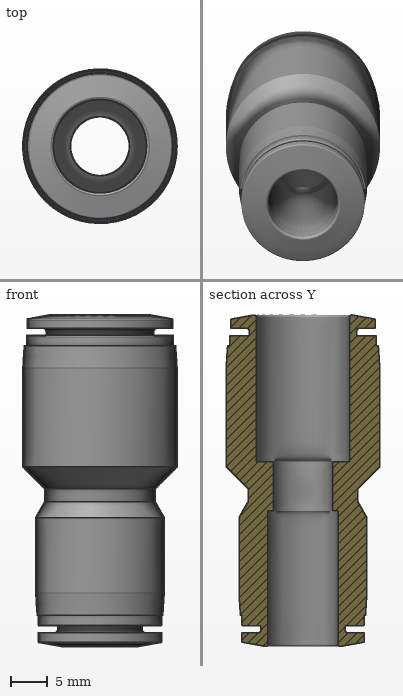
import cadquery as cq
import math

total_height = 45.2

edge_round = 0.2
root_round = 0.4
face_angle = 10.3
mouth_round = 0.3
flange_gap = 0.95

small_bore_dia = 9.53
small_sleeve_dia = 11.53
small_flange_dia = 16.8
small_body_dia = 17.5
small_collar_dia = 16.8
small_taper_end_dia = 17.1
small_flange_back = 1.9
small_collar_height = 1.4
small_taper_height = 3.1
small_bore_depth = 18.5

large_bore_dia = 12.7
large_sleeve_dia = 14.7
large_flange_dia = 19.8
large_body_dia = 21.0
large_collar_dia = 20.0
large_taper_end_dia = 20.6
large_flange_back = 1.85
large_collar_height = 1.4
large_taper_height = 3.0
large_bore_depth = 20.0

through_dia = 8.0
waist_dia = 15.0
waist_bottom = 19.75
waist_top = 21.5
small_shoulder_height = 2.2
large_shoulder_height = (large_body_dia - waist_dia) / 2

face_slope = math.tan(math.radians(face_angle))
corner_height = mouth_round * (face_slope + 1 / math.cos(math.radians(face_angle)) - 1)


def rim_depth(flange_dia, bore_dia):
    """Axial distance from the mouth crest to the outer edge of the conical end face."""
    return face_slope * (flange_dia - bore_dia) / 2 - corner_height


def end_profile(bore_dia, sleeve_dia, flange_dia, flange_back, collar_dia, collar_height,
                taper_end_dia, taper_height, body_dia):
    """(radius, distance from the mouth crest) points of one end, from axis to body."""
    collar_start = flange_back + flange_gap
    taper_start = collar_start + collar_height
    return [
        (0, -corner_height),
        (bore_dia / 2, -corner_height),
        (flange_dia / 2, rim_depth(flange_dia, bore_dia)),
        (flange_dia / 2, flange_back),
        (sleeve_dia / 2, flange_back),
        (sleeve_dia / 2, collar_start),
        (collar_dia / 2, collar_start),
        (collar_dia / 2, taper_start),
        (taper_end_dia / 2, taper_start),
        (body_dia / 2, taper_start + taper_height),
    ]


def make_outside():
    """Solid of revolution with the full outer shape."""
    small_end = end_profile(
        small_bore_dia, small_sleeve_dia, small_flange_dia, small_flange_back, small_collar_dia,
        small_collar_height, small_taper_end_dia, small_taper_height, small_body_dia)
    large_end = end_profile(
        large_bore_dia, large_sleeve_dia, large_flange_dia, large_flange_back, large_collar_dia,
        large_collar_height, large_taper_end_dia, large_taper_height, large_body_dia)
    waist = [
        (small_body_dia / 2, waist_bottom - small_shoulder_height),
        (waist_dia / 2, waist_bottom),
        (waist_dia / 2, waist_top),
        (large_body_dia / 2, waist_top + large_shoulder_height),
    ]
    upper = [(radius, total_height - depth) for radius, depth in reversed(large_end)]
    profile = cq.Workplane("XZ").polyline(small_end + waist + upper).close()
    return profile.revolve(360, (0, 0, 0), (0, 1, 0))


def round_edge(body, dia, height, radius):
    """Fillet the circular edge of the given diameter at the given height."""
    tolerance = 0.01
    reach = dia / 2 + tolerance
    inside = dia / 2 - tolerance
    outer_box = cq.selectors.BoxSelector(
        (-reach, -reach, height - tolerance), (reach, reach, height + tolerance), boundingbox=True)
    inner_box = cq.selectors.BoxSelector(
        (-inside, -inside, height - tolerance), (inside, inside, height + tolerance), boundingbox=True)
    return body.edges(outer_box - inner_box).fillet(radius)


def round_end(body, flange_dia, bore_dia, sleeve_dia, collar_dia, flange_back, end_height, inward):
    """Round the flange rim, sleeve root and collar rim of one end."""
    rim_height = end_height + inward * rim_depth(flange_dia, bore_dia)
    root_height = end_height + inward * flange_back
    collar_rim_height = root_height + inward * flange_gap
    body = round_edge(body, flange_dia, rim_height, edge_round)
    body = round_edge(body, sleeve_dia, root_height, root_round)
    return round_edge(body, collar_dia, collar_rim_height, edge_round)


def cut_bore(body, dia, depth, end_height, inward):
    """Cut a tube socket from one end and round its mouth."""
    corner = end_height - inward * corner_height
    socket_length = inward * (depth + corner_height)
    socket = cq.Workplane("XY", origin=(0, 0, corner)).circle(dia / 2).extrude(socket_length)
    return round_edge(body.cut(socket), dia, corner, mouth_round)


fitting = make_outside()
fitting = round_end(
    fitting, small_flange_dia, small_bore_dia, small_sleeve_dia, small_collar_dia,
    small_flange_back, 0, 1)
fitting = round_end(
    fitting, large_flange_dia, large_bore_dia, large_sleeve_dia, large_collar_dia,
    large_flange_back, total_height, -1)
fitting = cut_bore(fitting, small_bore_dia, small_bore_depth, 0, 1)
fitting = cut_bore(fitting, large_bore_dia, large_bore_depth, total_height, -1)
through_hole = cq.Workplane("XY").circle(through_dia / 2).extrude(total_height)
result = fitting.cut(through_hole)